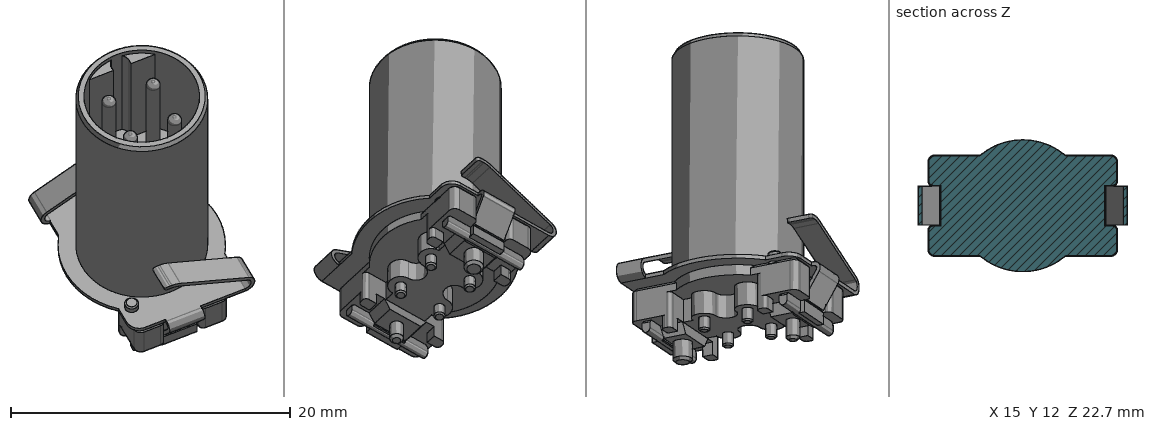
import cadquery as cq
import math

TOTAL_HEIGHT = 22.7
LEG_BOTTOM = 1.3
BODY_BOTTOM = 2.27
TUBE_BOTTOM = 4.02
PLATE_BOTTOM = 4.8
SHEET = 0.3
PLATE_MIDDLE = PLATE_BOTTOM + SHEET / 2
BORE_FLOOR = 13.62
OVERLAP = 0.23

TUBE_RADIUS = 4.72
BORE_RADIUS = 4.13
RIM_CHAMFER_HEIGHT = 0.32
RIM_CHAMFER_WIDTH = 0.18

KEY_FACE_X = -3.2
KEY_TOP = 22.34
KEY_SLOT_RADIUS = 0.7
KEY_SLOT_CENTER_X = -3.55

PIN_PITCH = 3.52
PIN_OFFSET = PIN_PITCH / 2
PIN_RADIUS = 0.5
PIN_TOP = 21.32
PIN_ROUNDING = 0.39
TAIL_RADIUS = 0.4
TAIL_CHAMFER = 0.11
LOBE_RADIUS = 0.93

FLANGE_RADIUS = 6.0
HALF_LENGTH = 6.79
PLATE_LONG_Y = 5.0
PLATE_SHORT_Y = 4.0
PLATE_CORNER = 1.0
RIVET_X = 4.72
RIVET_Y = 3.09
RIVET_RADIUS = 0.5
RIVET_TOP = 5.6
RIVET_CHAMFER = 0.11

SPRING_WIDTH = 2.02
SPRING_REACH_Y = 5.7
SPRING_BEND = 0.61
SPRING_SLOPE = math.radians(24.1)
SPRING_TIP_TOP = 8.83
SPRING_TIP_BEND = 1.48
SPRING_TIP_FLAT = 0.15
SPRING_TIP_Y = 1.45
SPRING_TIP_CORNER = 0.2

CLIP_WIDTH = 2.8
CLIP_HALF_WIDTH = CLIP_WIDTH / 2
CLIP_REACH_X = 7.5
CLIP_BEND = 0.39
CLIP_SLOPE = math.radians(57)
CLIP_LENGTH = 2.18

BODY_HALF_WIDTH = 3.63
BODY_INNER_X = 3.47
BODY_ROOT_X = 1.82
BODY_CORNER = 0.52
BODY_TOP_CHAMFER = 0.23
RECESS_FLOOR_X = 5.9
RECESS_ROUNDING = 0.39
LEG_WIDTH = 0.82
LEG_DEPTH = 1.02
LEG_ROUNDING = 0.32
FOOT_OUTER_X = 5.9
FOOT_INNER_X = 5.27
FOOT_TIP = 1.32
FOOT_END_Y = 3.45
FOOT_BEVEL = 0.2
BLOCK_OUTER_X = 6.22
BLOCK_BOTTOM = 1.36
BLOCK_TOP = 2.4
BLOCK_CHAMFER = 0.14
WEDGE_BOTTOM = 1.5
WEDGE_SPREAD = 0.5

PEG_X = 4.5
PEG_CHAMFER = 0.2
LEFT_PEG_RADIUS = 0.7
RIGHT_PEG_RADIUS = 0.5


def box(x_range, y_range, z_range):
    """Box between two limits on each axis."""
    sizes = [high - low for low, high in (x_range, y_range, z_range)]
    corner = (x_range[0], y_range[0], z_range[0])
    return cq.Workplane("XY").box(*sizes, centered=False).translate(corner)


def cylinder(radius, bottom, top, x=0.0, y=0.0):
    """Upright cylinder between two levels."""
    return cq.Workplane("XY", origin=(x, y, bottom)).circle(radius).extrude(top - bottom)


def half_turn(shape):
    """Copy of a shape turned half a turn about the tube axis."""
    return shape.rotate((0, 0, 0), (0, 0, 1), 180)


def make_tube():
    tube = cylinder(TUBE_RADIUS, TUBE_BOTTOM, TOTAL_HEIGHT)
    tube = tube.faces(">Z").chamfer(RIM_CHAMFER_HEIGHT, RIM_CHAMFER_WIDTH)
    return tube.cut(cylinder(BORE_RADIUS, BORE_FLOOR, TOTAL_HEIGHT))


def make_key():
    """Bore segment beyond a flat, split by a round-bottomed slot."""
    levels = (BORE_FLOOR, KEY_TOP)
    segment = cylinder((BORE_RADIUS + TUBE_RADIUS) / 2, *levels).intersect(
        box((-TUBE_RADIUS, KEY_FACE_X), (-TUBE_RADIUS, TUBE_RADIUS), levels)
    )
    slot_end = cylinder(KEY_SLOT_RADIUS, *levels, x=KEY_SLOT_CENTER_X)
    slot_mouth = box((KEY_SLOT_CENTER_X, KEY_FACE_X), (-KEY_SLOT_RADIUS, KEY_SLOT_RADIUS), levels)
    bore = cylinder(BORE_RADIUS, *levels)
    return segment.cut(slot_end.union(slot_mouth).intersect(bore))


def make_pin(x, y):
    contact = cylinder(PIN_RADIUS, BORE_FLOOR - OVERLAP, PIN_TOP, x, y)
    contact = contact.faces(">Z").edges().fillet(PIN_ROUNDING)
    tail = cylinder(TAIL_RADIUS, LEG_BOTTOM, BODY_BOTTOM + OVERLAP, x, y)
    return contact.union(tail.faces("<Z").chamfer(TAIL_CHAMFER))


def make_insulator():
    """Web joining the two body halves, waved along Y by the lobes around the pins."""
    levels = (BODY_BOTTOM, TUBE_BOTTOM + OVERLAP)
    web = box((-BODY_INNER_X, BODY_INNER_X), (-PIN_OFFSET, PIN_OFFSET), levels)
    for y in (-PIN_OFFSET, PIN_OFFSET):
        for x in (-PIN_OFFSET, PIN_OFFSET):
            web = web.union(cylinder(LOBE_RADIUS, *levels, x=x, y=y))
        web = web.cut(cylinder(PIN_OFFSET - LOBE_RADIUS, BODY_BOTTOM, TUBE_BOTTOM, y=y))
    return web


def make_half_plate():
    """Plate wing on the -X side, with its rivet post."""
    wing = box((-HALF_LENGTH, 0), (-PLATE_LONG_Y, PLATE_SHORT_Y), (PLATE_BOTTOM, PLATE_BOTTOM + SHEET))
    wing = wing.edges("|Z and <X and >Y").fillet(PLATE_CORNER)
    rivet = cylinder(RIVET_RADIUS, TUBE_BOTTOM, RIVET_TOP, -RIVET_X, RIVET_Y)
    return wing.union(rivet.faces(">Z").chamfer(RIVET_CHAMFER))


def make_spring():
    """Strip folded back over the plate and rising to a tip that levels off and droops."""
    bend_y = -SPRING_REACH_Y + SHEET / 2 + SPRING_BEND
    bend_z = PLATE_MIDDLE + SPRING_BEND
    sine = math.sin(SPRING_SLOPE)
    cosine = math.cos(SPRING_SLOPE)
    ramp_start = (bend_y - SPRING_BEND * sine, bend_z + SPRING_BEND * cosine)
    tip_z = SPRING_TIP_TOP - SHEET / 2
    ramp_end_z = tip_z - SPRING_TIP_BEND * (1 - cosine)
    ramp_end_y = ramp_start[0] + (ramp_end_z - ramp_start[1]) * cosine / sine
    tip_bend_y = ramp_end_y + SPRING_TIP_BEND * sine
    half_slope = SPRING_SLOPE / 2
    tip_bend_middle = (
        tip_bend_y - SPRING_TIP_BEND * math.sin(half_slope),
        tip_z - SPRING_TIP_BEND * (1 - math.cos(half_slope)),
    )
    droop_y = tip_bend_y + SPRING_TIP_FLAT
    droop_angle = math.asin((SPRING_TIP_Y - droop_y) / SPRING_TIP_BEND)

    def droop_point(angle):
        return (
            droop_y + SPRING_TIP_BEND * math.sin(angle),
            tip_z - SPRING_TIP_BEND * (1 - math.cos(angle)),
        )

    root_y = -PLATE_LONG_Y + OVERLAP
    middle_x = -HALF_LENGTH + SPRING_WIDTH / 2
    path = (
        cq.Workplane("YZ", origin=(middle_x, 0, 0))
        .moveTo(root_y, PLATE_MIDDLE)
        .lineTo(bend_y, PLATE_MIDDLE)
        .threePointArc((bend_y - SPRING_BEND, bend_z), ramp_start)
        .lineTo(ramp_end_y, ramp_end_z)
        .threePointArc(tip_bend_middle, (tip_bend_y, tip_z))
        .lineTo(droop_y, tip_z)
        .threePointArc(droop_point(droop_angle / 2), droop_point(droop_angle))
    )
    section = cq.Workplane("XZ", origin=(middle_x, root_y, PLATE_MIDDLE)).rect(SPRING_WIDTH, SHEET)
    spring = section.sweep(path)
    return spring.faces(">Y").edges("<X or >X").fillet(SPRING_TIP_CORNER)


def make_clip():
    """Tongue curled down from the plate edge and back into the body recess."""
    bend_x = -CLIP_REACH_X + SHEET / 2 + CLIP_BEND
    bend_z = PLATE_MIDDLE - CLIP_BEND
    sine = math.sin(CLIP_SLOPE)
    cosine = math.cos(CLIP_SLOPE)
    leaf_start = (bend_x - CLIP_BEND * sine, bend_z - CLIP_BEND * cosine)
    leaf_end = (leaf_start[0] + CLIP_LENGTH * cosine, leaf_start[1] - CLIP_LENGTH * sine)
    root_x = -HALF_LENGTH + OVERLAP
    path = (
        cq.Workplane("XZ")
        .moveTo(root_x, PLATE_MIDDLE)
        .lineTo(bend_x, PLATE_MIDDLE)
        .threePointArc((bend_x - CLIP_BEND, bend_z), leaf_start)
        .lineTo(*leaf_end)
    )
    section = cq.Workplane("YZ", origin=(root_x, 0, PLATE_MIDDLE)).rect(CLIP_WIDTH, SHEET)
    return section.sweep(path)


def make_shell():
    """Upper part of the -X body half, recessed on its outer side for the clip."""
    width = (-BODY_HALF_WIDTH, BODY_HALF_WIDTH)
    recess_width = (-CLIP_HALF_WIDTH, CLIP_HALF_WIDTH)
    levels = (BODY_BOTTOM, PLATE_BOTTOM)
    shell = box((-HALF_LENGTH, -BODY_ROOT_X), width, levels)
    shell = shell.edges("|Z and <X").fillet(BODY_CORNER)
    shell = shell.cut(box((-HALF_LENGTH, -RECESS_FLOOR_X), recess_width, levels))
    shell = shell.edges("|Z and <X").fillet(RECESS_ROUNDING)
    shell = shell.faces(">Z").chamfer(BODY_TOP_CHAMFER)
    return shell.cut(box((-BODY_INNER_X, 0), width, (BODY_BOTTOM, TUBE_BOTTOM)))


def make_leg(side):
    """Rounded leg forming the inner corner of the body; side is -1 or 1 along Y."""
    y_range = sorted((side * BODY_HALF_WIDTH, side * (BODY_HALF_WIDTH - LEG_DEPTH)))
    leg = box((-BODY_INNER_X - LEG_WIDTH, -BODY_INNER_X), y_range, (LEG_BOTTOM, TUBE_BOTTOM))
    outer_edges = "|Z and >Y" if side > 0 else "|Z and <Y"
    return leg.edges(outer_edges).fillet(LEG_ROUNDING)


def make_feet():
    """Round-bottomed bar along Y under the outer edge, its ends beveled below the body."""
    radius = (FOOT_OUTER_X - FOOT_INNER_X) / 2
    round_z = FOOT_TIP + radius
    bar = (
        cq.Workplane("XZ", origin=(0, FOOT_END_Y, 0))
        .moveTo(-FOOT_OUTER_X, BODY_BOTTOM)
        .lineTo(-FOOT_OUTER_X, round_z)
        .threePointArc((radius - FOOT_OUTER_X, FOOT_TIP), (-FOOT_INNER_X, round_z))
        .lineTo(-FOOT_INNER_X, BODY_BOTTOM)
        .close()
        .extrude(2 * FOOT_END_Y)
    )
    return bar.edges("|X and >Z").chamfer(FOOT_BEVEL)


def make_block():
    """Clip ledge in the middle of the body, with a wedge sloping away from it along Y."""
    width = (-CLIP_HALF_WIDTH, CLIP_HALF_WIDTH)
    ledge = box((-BLOCK_OUTER_X, -FOOT_INNER_X), width, (BLOCK_BOTTOM, BLOCK_TOP))
    ledge = ledge.edges("<X and >Z").chamfer(BLOCK_CHAMFER)
    wedge = (
        cq.Workplane("YZ", origin=(-FOOT_INNER_X, 0, 0))
        .polyline([
            (-CLIP_HALF_WIDTH, WEDGE_BOTTOM),
            (CLIP_HALF_WIDTH, WEDGE_BOTTOM),
            (CLIP_HALF_WIDTH + WEDGE_SPREAD, BODY_BOTTOM),
            (-CLIP_HALF_WIDTH - WEDGE_SPREAD, BODY_BOTTOM),
        ])
        .close()
        .extrude(FOOT_INNER_X - BODY_INNER_X)
    )
    return ledge.union(wedge)


def make_half_body():
    body = make_shell().union(make_feet()).union(make_block())
    corner_x = (-BODY_INNER_X - LEG_WIDTH / 2, -BODY_INNER_X)
    for side in (-1, 1):
        corner_y = sorted((side * BODY_HALF_WIDTH, side * (BODY_HALF_WIDTH - LEG_DEPTH)))
        body = body.cut(box(corner_x, corner_y, (BODY_BOTTOM, TUBE_BOTTOM)))
        body = body.union(make_leg(side))
    return body


def make_peg(x, radius):
    return cylinder(radius, 0, BODY_BOTTOM, x).faces("<Z").chamfer(PEG_CHAMFER)


half = make_half_plate().union(make_spring()).union(make_clip()).union(make_half_body())
flange = cylinder(FLANGE_RADIUS, PLATE_BOTTOM, PLATE_BOTTOM + SHEET)

result = make_tube().union(make_key()).union(make_insulator()).union(flange)
result = result.union(half).union(half_turn(half))
for pin_x in (-PIN_OFFSET, PIN_OFFSET):
    for pin_y in (-PIN_OFFSET, PIN_OFFSET):
        result = result.union(make_pin(pin_x, pin_y))
result = result.union(make_peg(-PEG_X, LEFT_PEG_RADIUS)).union(make_peg(PEG_X, RIGHT_PEG_RADIUS))